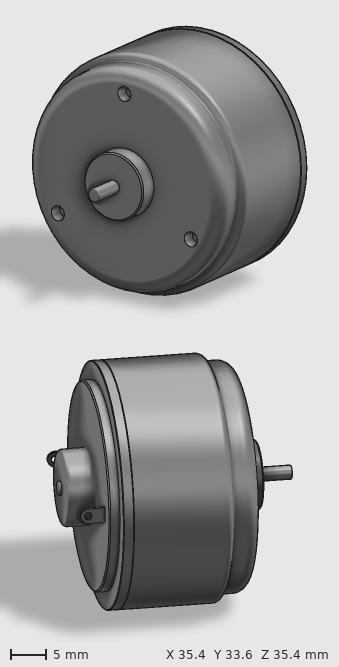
import cadquery as cq
import math


can_radius = 17.68
nose_radius = 16.5
nose_rounding = 2.0
shoulder_rounding = 1.0
shoulder_root_rounding = 0.5
shoulder_round_end = 5.0
can_back = 19.97
rim_chamfer = 0.1
seam_position = 18.45
seam_width = 0.1
seam_depth = 0.1

cover_radius = 30.0 / 2
cover_thickness = 1.52
cover_back = can_back + cover_thickness
cover_chamfer = 0.2

front_boss_radius = 10.0 / 2
front_boss_length = 2.8
front_boss_chamfer = 0.2
rear_boss_radius = 11.0 / 2
rear_boss_length = 4.0
rear_boss_rounding = 0.6
rear_boss_root_rounding = 0.5

shaft_radius = 2.0 / 2
shaft_length = 33.6
shaft_front = -7.7
shaft_rounding = 0.2

mount_hole_count = 3
mount_hole_radius = 1.1
mount_hole_depth = 2.0
mount_circle_radius = 13.0
drill_point_angle = 118.0

terminal_spacing = 23.47
terminal_thickness = 0.5
terminal_width = 2.2
terminal_length = 3.5
terminal_hole_diameter = 1.1


def cylinder(radius, start, length):
    """Cylinder on the Y axis, growing toward +Y from start."""
    base = cq.Workplane("XZ", origin=(0, start, 0))
    return base.circle(radius).extrude(-length)


def polar(center, radius, angle):
    return (center[0] + radius * math.cos(angle), center[1] + radius * math.sin(angle))


def make_can():
    """Revolved can whose shoulder and its root are two tangent arcs."""
    shoulder_center = (can_radius - shoulder_rounding, shoulder_round_end)
    root_x = nose_radius + shoulder_root_rounding
    center_distance = shoulder_rounding + shoulder_root_rounding
    x_offset = root_x - shoulder_center[0]
    root_y = shoulder_round_end - math.sqrt(center_distance**2 - x_offset**2)
    root_center = (root_x, root_y)
    meeting_angle = math.atan2(root_y - shoulder_round_end, x_offset)
    meeting_point = polar(shoulder_center, shoulder_rounding, meeting_angle)
    root_middle = polar(root_center, shoulder_root_rounding, math.pi + meeting_angle / 2)
    shoulder_middle = polar(shoulder_center, shoulder_rounding, meeting_angle / 2)
    nose_center = (nose_radius - nose_rounding, nose_rounding)

    profile = (
        cq.Workplane("XY")
        .lineTo(nose_center[0], 0)
        .threePointArc(polar(nose_center, nose_rounding, -math.pi / 4), (nose_radius, nose_rounding))
        .lineTo(nose_radius, root_y)
        .threePointArc(root_middle, meeting_point)
        .threePointArc(shoulder_middle, (can_radius, shoulder_round_end))
        .lineTo(can_radius, seam_position - seam_width / 2)
        .lineTo(can_radius - seam_depth, seam_position)
        .lineTo(can_radius, seam_position + seam_width / 2)
        .lineTo(can_radius, can_back - rim_chamfer)
        .lineTo(can_radius - rim_chamfer, can_back)
        .lineTo(0, can_back)
        .close()
    )
    return profile.revolve(360, (0, 0, 0), (0, 1, 0))


def make_rear_cover():
    """Cover disc and rear bearing housing, blended where they meet."""
    cover = cylinder(cover_radius, can_back, cover_thickness).faces(">Y").edges().chamfer(cover_chamfer)
    boss = cylinder(rear_boss_radius, cover_back, rear_boss_length)
    boss = boss.faces(">Y").edges().fillet(rear_boss_rounding)
    cover = cover.union(boss)
    root_circle = cq.selectors.RadiusNthSelector(0)
    return cover.faces("+Y").faces("<Y").edges(root_circle).fillet(rear_boss_root_rounding)


def make_front_boss():
    boss = cylinder(front_boss_radius, -front_boss_length, front_boss_length)
    return boss.faces("<Y").edges().chamfer(front_boss_chamfer)


def make_shaft():
    shaft = cylinder(shaft_radius, shaft_front, shaft_length)
    return shaft.faces("<Y or >Y").edges().fillet(shaft_rounding)


def make_terminal(x):
    """Flat tab with a round, pierced end."""
    end_radius = terminal_width / 2
    hole_y = cover_back + terminal_length - end_radius
    tab = (
        cq.Workplane("YZ", origin=(x - terminal_thickness / 2, 0, 0))
        .moveTo(cover_back, -end_radius)
        .lineTo(hole_y, -end_radius)
        .threePointArc((hole_y + end_radius, 0), (hole_y, end_radius))
        .lineTo(cover_back, end_radius)
        .close()
        .extrude(terminal_thickness)
    )
    return tab.faces(">X").workplane(origin=(x, hole_y, 0)).hole(terminal_hole_diameter)


def make_mount_hole(index):
    """Blind hole with a conical drill point; the first hole is at +Z."""
    angle = math.pi / 2 + index * 2 * math.pi / mount_hole_count
    point_depth = mount_hole_radius / math.tan(math.radians(drill_point_angle / 2))
    hole = (
        cq.Workplane("XY")
        .lineTo(mount_hole_radius, 0)
        .lineTo(mount_hole_radius, mount_hole_depth)
        .lineTo(0, mount_hole_depth + point_depth)
        .close()
        .revolve(360, (0, 0, 0), (0, 1, 0))
    )
    x, z = polar((0, 0), mount_circle_radius, angle)
    return hole.translate((x, 0, z))


result = make_can().union(make_rear_cover()).union(make_front_boss()).union(make_shaft())
for side in (-1, 1):
    result = result.union(make_terminal(side * terminal_spacing / 2))
for hole_index in range(mount_hole_count):
    result = result.cut(make_mount_hole(hole_index))